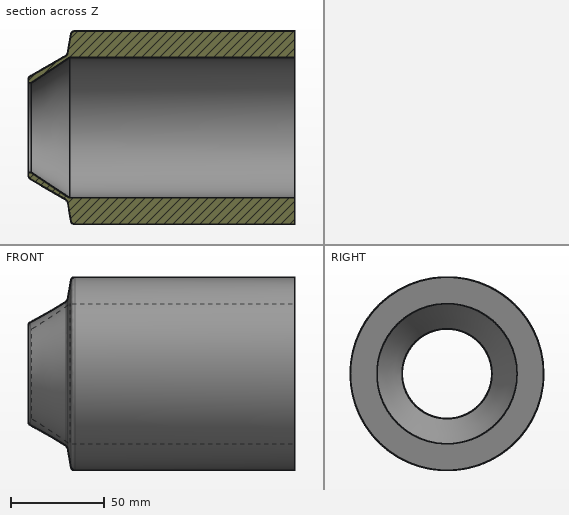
import cadquery as cq
import math

length = 142.7
body_radius = 103.6 / 2
mouth_radius = 48.0 / 2
edge_radius = 2.1

neck_start_radius = 27.0
neck_end_x = 20.8
neck_angle = 30.0
shoulder_angle = 10.0
neck_end_radius = neck_start_radius + neck_end_x * math.tan(math.radians(neck_angle))
shoulder_end_x = neck_end_x + (body_radius - neck_end_radius) * math.tan(math.radians(shoulder_angle))

mouth_depth = 1.7
bore_radius = 37.5
bore_start_x = 22.1


def revolve_about_x(profile):
    return profile.close().revolve(360, (0, 0, 0), (1, 0, 0))


def make_outer_body():
    profile = (
        cq.Workplane("XY")
        .lineTo(0, neck_start_radius)
        .lineTo(neck_end_x, neck_end_radius)
        .lineTo(shoulder_end_x, body_radius)
        .lineTo(length, body_radius)
        .lineTo(length, 0)
    )
    body = revolve_about_x(profile)
    rounded_edges = cq.selectors.BoxSelector(
        (-edge_radius, -length, -length),
        (shoulder_end_x + edge_radius, length, length),
    )
    return body.edges("%CIRCLE").edges(rounded_edges).fillet(edge_radius)


def make_cavity():
    profile = (
        cq.Workplane("XY")
        .lineTo(0, mouth_radius)
        .lineTo(mouth_depth, mouth_radius)
        .lineTo(bore_start_x, bore_radius)
        .lineTo(length, bore_radius)
        .lineTo(length, 0)
    )
    return revolve_about_x(profile)


result = make_outer_body().cut(make_cavity())